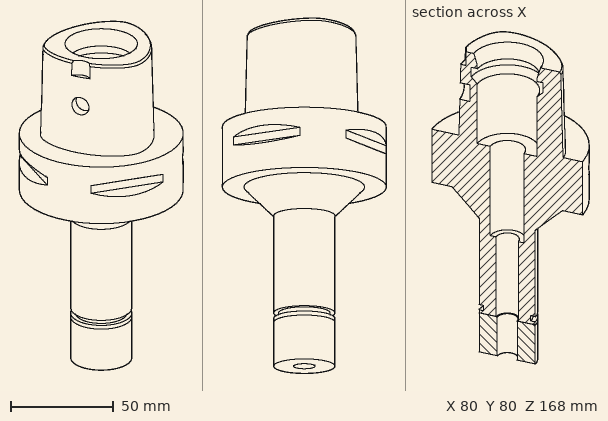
import cadquery as cq
import math

total_height = 168.0
flange_top = 120.1
flange_bottom = 89.9
shank_top = 75.5
neck_top = 26.7
collar_top = 24.0
nut_top = 22.0

flange_radius = 40.0
shank_radius = 15.0
neck_radius = 12.6
cone_radius = shank_radius + flange_bottom - shank_top

lobe_height = 2.0
base_mean_radius = 27.7
tip_mean_radius = 26.5
rim_mean_radius = 25.9
rim_height = 1.3
outline_points = 72

mouth_radius = 17.6
socket_radius = 15.8
lead_in_depth = 6.2
lip_depth = 8.4
undercut_radius = 19.0
undercut_bottom_depth = 16.8
socket_depth = 50.4
passage_radius = 8.9
passage_depth = 100.8
outlet_radius = 5.9

notch_radius = 6.2
notch_axis_y = -28.2
notch_depth = 7.7
side_hole_radius = 4.5
side_hole_depth = 23.0
side_hole_end_y = -19.8

slot_count = 4
slot_first_angle = 45
slot_floor_distance = 35.3
slot_center_z = 108.0
slot_floor_width = 4.0
slot_flank_slope = 0.5

nut_hole_radius = 5.2


def revolve_profile(points):
    """Solid of revolution about Z from (radius, height) points."""
    return cq.Workplane("XZ").polyline(points).close().revolve(360, (0, 0), (0, 1))


def lobed_wire(mean_radius, height):
    """Closed three-lobed curve with one lobe on +Y, from its support function."""
    points = []
    for step in range(outline_points):
        angle = 2 * math.pi * step / outline_points - math.pi / 2
        phase = 3 * (angle - math.pi / 2)
        support = mean_radius + lobe_height * math.cos(phase)
        slope = -3 * lobe_height * math.sin(phase)
        x = support * math.cos(angle) - slope * math.sin(angle)
        y = support * math.sin(angle) + slope * math.cos(angle)
        points.append(cq.Vector(x, y, height))
    return cq.Wire.assembleEdges([cq.Edge.makeSpline(points, periodic=True)])


def make_lobed_shank():
    """Tapered three-lobed shank with a chamfered rim."""
    base = lobed_wire(base_mean_radius, flange_top)
    tip = lobed_wire(tip_mean_radius, total_height - rim_height)
    rim = lobed_wire(rim_mean_radius, total_height)
    taper = cq.Solid.makeLoft([base, tip], True)
    chamfer = cq.Solid.makeLoft([tip, rim], True)
    return cq.Workplane(taper).union(cq.Workplane(chamfer))


def make_turned_body():
    """Flange, cone, cylindrical shank, neck and end collar."""
    return revolve_profile([
        (0, nut_top),
        (shank_radius, nut_top),
        (shank_radius, collar_top),
        (neck_radius, collar_top),
        (neck_radius, neck_top),
        (shank_radius, neck_top),
        (shank_radius, shank_top),
        (cone_radius, flange_bottom),
        (flange_radius, flange_bottom),
        (flange_radius, flange_top),
        (0, flange_top),
    ])


def make_socket():
    """Conical mouth, lip, undercut, plain socket, central passage and outlet hole."""
    undercut_shoulder_depth = undercut_bottom_depth - (undercut_radius - socket_radius)
    return revolve_profile([
        (0, total_height),
        (mouth_radius, total_height),
        (socket_radius, total_height - lead_in_depth),
        (socket_radius, total_height - lip_depth),
        (undercut_radius, total_height - lip_depth),
        (undercut_radius, total_height - undercut_shoulder_depth),
        (socket_radius, total_height - undercut_bottom_depth),
        (socket_radius, total_height - socket_depth),
        (passage_radius, total_height - socket_depth),
        (passage_radius, total_height - passage_depth),
        (outlet_radius, total_height - passage_depth),
        (outlet_radius, nut_top),
        (0, nut_top),
    ])


def make_notch():
    """Round-backed notch cut down from the rim."""
    return (
        cq.Workplane("XY", origin=(0, notch_axis_y, total_height - notch_depth))
        .circle(notch_radius)
        .extrude(notch_depth)
    )


def make_side_hole():
    """Flat-bottomed blind hole, drilled along Y from the -Y face."""
    return (
        cq.Workplane("XZ", origin=(0, side_hole_end_y, total_height - side_hole_depth))
        .circle(side_hole_radius)
        .extrude(flange_radius + side_hole_end_y)
    )


def make_gripper_slot(angle):
    """Straight slot with sloping flanks, at the given angle around Z."""
    half_floor = slot_floor_width / 2
    half_mouth = half_floor + slot_flank_slope * (flange_radius - slot_floor_distance)
    return (
        cq.Workplane("XZ")
        .polyline([
            (slot_floor_distance, slot_center_z - half_floor),
            (flange_radius, slot_center_z - half_mouth),
            (flange_radius, slot_center_z + half_mouth),
            (slot_floor_distance, slot_center_z + half_floor),
        ])
        .close()
        .extrude(flange_radius, both=True)
        .rotate((0, 0, 0), (0, 0, 1), angle)
    )


def make_holder():
    """Tool holder with its lobed shank, flange and socket."""
    body = make_turned_body().union(make_lobed_shank())
    body = body.cut(make_socket()).cut(make_notch()).cut(make_side_hole())
    for index in range(slot_count):
        body = body.cut(make_gripper_slot(slot_first_angle + index * 360 / slot_count))
    return body


def make_nut():
    """Plain cylindrical clamping nut with a through hole, seated against the holder's end."""
    return cq.Workplane("XY").circle(shank_radius).circle(nut_hole_radius).extrude(nut_top)


holder = make_holder()
nut = make_nut()

result = cq.Compound.makeCompound([holder.val(), nut.val()])